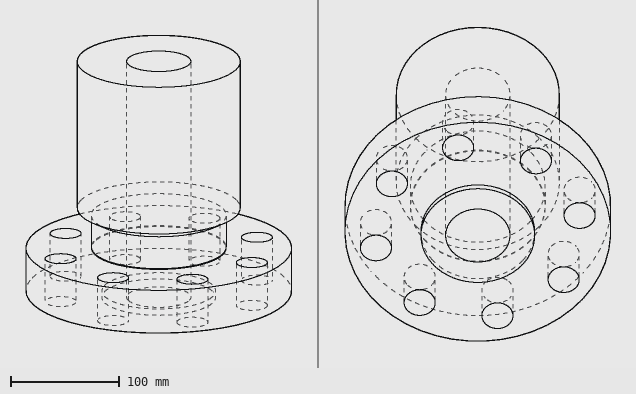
import cadquery as cq

total_height = 228.6
raised_face_height = 6.0
flange_thickness = 41.5
neck_height = 31.8
relief_height = 0.7
taper_height = 7.0

flange_diameter = 244.3
raised_face_diameter = 104.5
neck_diameter = 124.0
relief_depth = 0.2
body_diameter = 150.0
bore_diameter = 59.0

bolt_count = 8
bolt_circle_diameter = 190.5
bolt_hole_diameter = 28.5

flange_top = raised_face_height + flange_thickness
relief_diameter = neck_diameter - 2 * relief_depth
relief_top = flange_top + relief_height
neck_top = flange_top + neck_height
body_bottom = neck_top + taper_height
body_height = total_height - body_bottom


def disc(diameter, height, bottom):
    """Solid cylinder on the Z axis, standing on the given level."""
    return cq.Workplane("XY").workplane(offset=bottom).circle(diameter / 2).extrude(height)


def taper():
    """Cone that widens from the neck to the body."""
    return (
        cq.Workplane("XY")
        .workplane(offset=neck_top)
        .circle(neck_diameter / 2)
        .workplane(offset=taper_height)
        .circle(body_diameter / 2)
        .loft(ruled=True)
    )


def bolt_holes():
    """Cutters for the ring of through holes in the flange."""
    return (
        cq.Workplane("XY")
        .workplane(offset=raised_face_height)
        .polarArray(bolt_circle_diameter / 2, 0, 360, bolt_count)
        .circle(bolt_hole_diameter / 2)
        .extrude(flange_thickness)
    )


raised_face = disc(raised_face_diameter, raised_face_height, 0)
flange = disc(flange_diameter, flange_thickness, raised_face_height).cut(bolt_holes())
relief = disc(relief_diameter, relief_height, flange_top)
neck = disc(neck_diameter, neck_top - relief_top, relief_top)
body = disc(body_diameter, body_height, body_bottom)
bore = disc(bore_diameter, total_height, 0)

result = raised_face.union(flange).union(relief).union(neck).union(taper()).union(body).cut(bore)